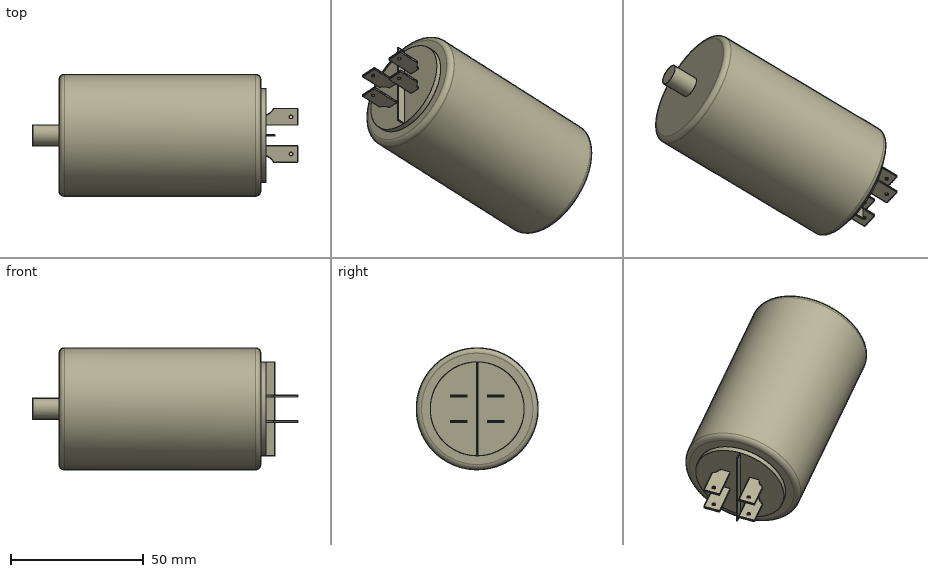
import cadquery as cq

total_length = 100.0
stud_length = 10.0
body_length = 76.0
cover_length = 2.0
rib_length = 3.4

body_diameter = 46.0
body_edge_radius = 2.0
stud_diameter = 8.0
cover_diameter = 35.4

rib_thickness = 0.5
rib_end_chamfer = 0.2

tab_width = 6.3
tab_thickness = 0.8
tab_offset_y = 7.0
tab_offset_z = 4.8
tab_root_length = 2.8
tab_root_step = 2.4
tab_root_radius = 4.5
tab_end_chamfer = 0.25
tab_hole_diameter = 1.2
tab_hole_from_tip = 2.6

body_start = stud_length
body_end = body_start + body_length
cover_end = body_end + cover_length


def cylinder_along_x(start, length, diameter):
    return cq.Workplane("YZ", origin=(start, 0, 0)).circle(diameter / 2).extrude(length)


def make_rib():
    """Thin upright plate standing on the cover, bevelled along its free edge."""
    rib = (
        cq.Workplane("YZ", origin=(cover_end, 0, 0))
        .rect(rib_thickness, cover_diameter)
        .extrude(rib_length)
    )
    return rib.faces(">X").edges("|Z").chamfer(rib_end_chamfer)


def make_tab():
    """Terminal on the +Y, +Z side; the others are mirror images of it."""
    inner_y = tab_offset_y - tab_width / 2
    outer_y = tab_offset_y + tab_width / 2
    tab = (
        cq.Workplane("XY", origin=(0, 0, tab_offset_z - tab_thickness / 2))
        .moveTo(cover_end, inner_y)
        .lineTo(total_length, inner_y)
        .lineTo(total_length, outer_y)
        .lineTo(cover_end + tab_root_length, outer_y)
        .radiusArc((cover_end, outer_y - tab_root_step), tab_root_radius)
        .close()
        .extrude(tab_thickness)
    )
    tab = tab.faces(">X").chamfer(tab_end_chamfer)
    hole = (
        cq.Workplane("XY", origin=(total_length - tab_hole_from_tip, tab_offset_y, 0))
        .circle(tab_hole_diameter / 2)
        .extrude(tab_offset_z + tab_thickness)
    )
    return tab.cut(hole)


body = cylinder_along_x(body_start, body_length, body_diameter).edges().fillet(body_edge_radius)
stud = cylinder_along_x(0, stud_length, stud_diameter)
cover = cylinder_along_x(body_end, cover_length, cover_diameter)

upper_tab = make_tab()
upper_tabs = [upper_tab, upper_tab.mirror("XZ")]
lower_tabs = [tab.mirror("XY") for tab in upper_tabs]

result = body.union(stud).union(cover).union(make_rib())
for tab in upper_tabs + lower_tabs:
    result = result.union(tab)